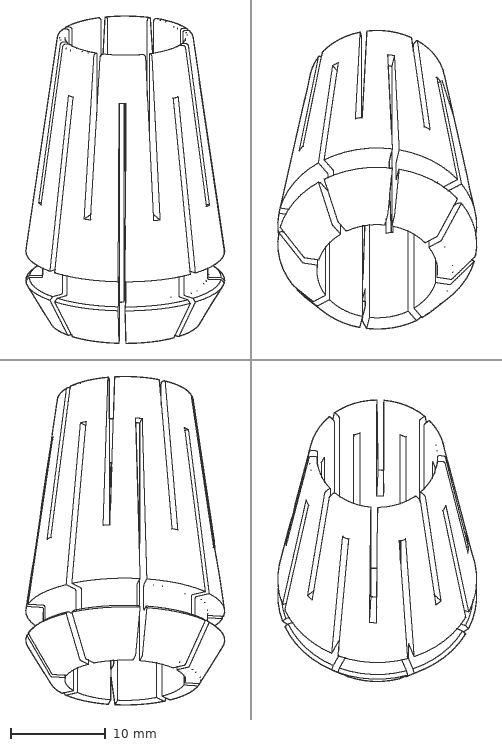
import cadquery as cq
import math

HEIGHT = 31.5
OUTER_RADIUS = 10.5
BORE_RADIUS = 12.7 / 2

NOSE_TIP_RADIUS = 7.9
NOSE_TIP_ROUND = 0.2
NOSE_HEIGHT = 4.47
NOSE_RIM_CHAMFER_WIDTH = 0.38
NOSE_RIM_CHAMFER_HEIGHT = 0.3
GROOVE_RADIUS = 8.7
GROOVE_BOTTOM = NOSE_HEIGHT + NOSE_RIM_CHAMFER_HEIGHT
GROOVE_TOP = 7.7
GROOVE_FILLET = 0.2

TAPER_ANGLE = 8.0
RIM_OUTER_ROUND = 0.28
RIM_BORE_ROUND = 0.22

SLOT_COUNT = 8
SLOT_WIDTH = 0.72
NOSE_SLOT_TOP = 26.55
RIM_SLOT_BOTTOM = 14.02
PITCH = 360 / SLOT_COUNT

TOP_RADIUS = OUTER_RADIUS - (HEIGHT - GROOVE_TOP) * math.tan(math.radians(TAPER_ANGLE))


def collet_body():
    """Revolved ring: nose cone, groove and long taper around a plain bore."""
    profile = (
        cq.Workplane("XZ")
        .moveTo(BORE_RADIUS, 0)
        .lineTo(NOSE_TIP_RADIUS, 0)
        .lineTo(OUTER_RADIUS, NOSE_HEIGHT)
        .lineTo(OUTER_RADIUS - NOSE_RIM_CHAMFER_WIDTH, GROOVE_BOTTOM)
        .lineTo(GROOVE_RADIUS + GROOVE_FILLET, GROOVE_BOTTOM)
        .tangentArcPoint((-GROOVE_FILLET, GROOVE_FILLET))
        .lineTo(GROOVE_RADIUS, GROOVE_TOP - GROOVE_FILLET)
        .tangentArcPoint((GROOVE_FILLET, GROOVE_FILLET))
        .lineTo(OUTER_RADIUS, GROOVE_TOP)
        .lineTo(TOP_RADIUS, HEIGHT)
        .lineTo(BORE_RADIUS, HEIGHT)
        .close()
    )
    return profile.revolve(360, (0, 0, 0), (0, 1, 0))


def round_edges(body):
    """Round the outer edge of the nose tip and both edges of the top rim."""
    bore_edge = cq.selectors.RadiusNthSelector(0)
    outer_edge = cq.selectors.RadiusNthSelector(1)
    body = body.faces("<Z").edges(outer_edge).fillet(NOSE_TIP_ROUND)
    body = body.faces(">Z").edges(outer_edge).fillet(RIM_OUTER_ROUND)
    return body.faces(">Z").edges(bore_edge).fillet(RIM_BORE_ROUND)


def slots(bottom, top, first_angle):
    """Ring of radial slots between two heights, reaching out from the bore."""
    return (
        cq.Workplane("XY", origin=(0, 0, bottom))
        .polarArray(OUTER_RADIUS, first_angle, 360, SLOT_COUNT)
        .rect(OUTER_RADIUS, SLOT_WIDTH)
        .extrude(top - bottom)
    )


result = (
    round_edges(collet_body())
    .cut(slots(0, NOSE_SLOT_TOP, 0))
    .cut(slots(RIM_SLOT_BOTTOM, HEIGHT, PITCH / 2))
)